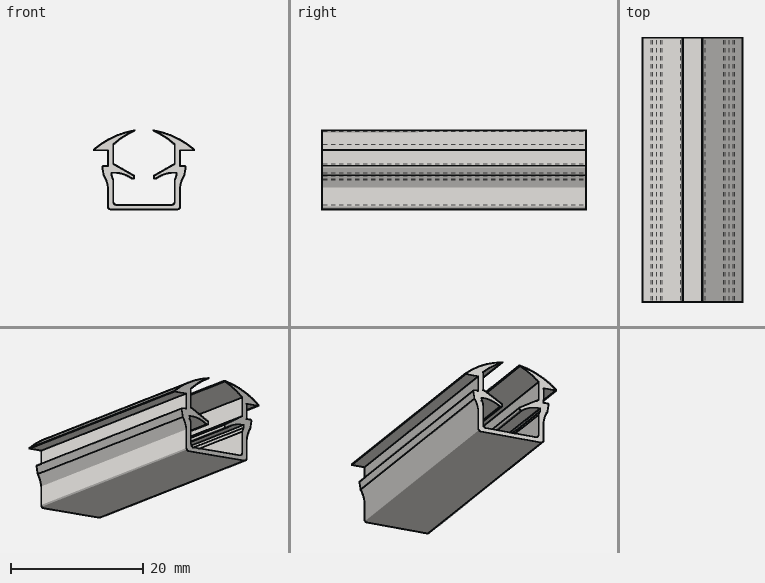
import cadquery as cq

length = 40.0
width = 15.2
height = 12.0

channel_width = 10.95
wall = 0.85
floor = 0.7
outer_corner_radius = 0.5
inner_corner_radius = 0.5

slot_width = 2.8
flange_edge = 0.1
flange_base_z = 8.95
flange_crown = (-4.6, 11.0)
flange_root_z = 9.85
flange_underside = (-2.95, 11.1)

barb_reach = 0.85
barb_top_z = 6.6
barb_corner_radius = 0.25
barb_knee = (-6.1, 5.2)
barb_bend = (-5.7, 4.3)
barb_foot_z = 3.35

hook_root_z = 6.9
hook_tip_x = -1.5
hook_tip_top_z = 5.1
hook_tip_bottom_z = 4.7
hook_tip_width = 0.35
hook_tip_radius = 0.15
hook_underside = (-2.95, 5.3)
hook_arch_start_x = -4.3
hook_arch_z = 5.55

relief_depth = 0.25
relief_neck_z = 5.1
relief_foot_z = 4.5

outer_x = -channel_width / 2
inner_x = outer_x + wall
relief_x = inner_x - relief_depth
barb_x = outer_x - barb_reach
flange_tip = (-slot_width / 2, height)


def channel_half():
    """Left half of the profile, from the floor up to the flange and back down."""
    outline = (
        cq.Workplane("XZ", origin=(0, length / 2, 0))
        .moveTo(0, 0)
        .lineTo(outer_x + outer_corner_radius, 0)
        .radiusArc((outer_x, outer_corner_radius), outer_corner_radius)
        .lineTo(outer_x, barb_foot_z)
        .threePointArc(barb_bend, barb_knee)
        .lineTo(barb_x, barb_top_z - barb_corner_radius)
        .radiusArc((barb_x + barb_corner_radius, barb_top_z), barb_corner_radius)
        .lineTo(outer_x, barb_top_z)
        .lineTo(outer_x, flange_base_z)
        .lineTo(-width / 2, flange_base_z)
        .lineTo(-width / 2, flange_base_z + flange_edge)
        .threePointArc(flange_crown, flange_tip)
        .lineTo(flange_tip[0] - flange_edge, height - flange_edge)
        .threePointArc(flange_underside, (inner_x, flange_root_z))
        .lineTo(inner_x, hook_root_z)
        .lineTo(hook_tip_x, hook_tip_top_z)
        .lineTo(hook_tip_x, hook_tip_bottom_z + hook_tip_radius)
        .radiusArc((hook_tip_x - hook_tip_radius, hook_tip_bottom_z), hook_tip_radius)
        .lineTo(hook_tip_x - hook_tip_width, hook_tip_bottom_z)
        .threePointArc(hook_underside, (hook_arch_start_x, hook_arch_z))
        .lineTo(relief_x, hook_arch_z)
        .lineTo(relief_x, relief_neck_z)
        .lineTo(inner_x, relief_foot_z)
        .lineTo(inner_x, floor + inner_corner_radius)
        .radiusArc((inner_x + inner_corner_radius, floor), -inner_corner_radius)
        .lineTo(0, floor)
        .close()
    )
    return outline.extrude(length)


left_half = channel_half()
result = left_half.union(left_half.mirror("YZ")).clean()